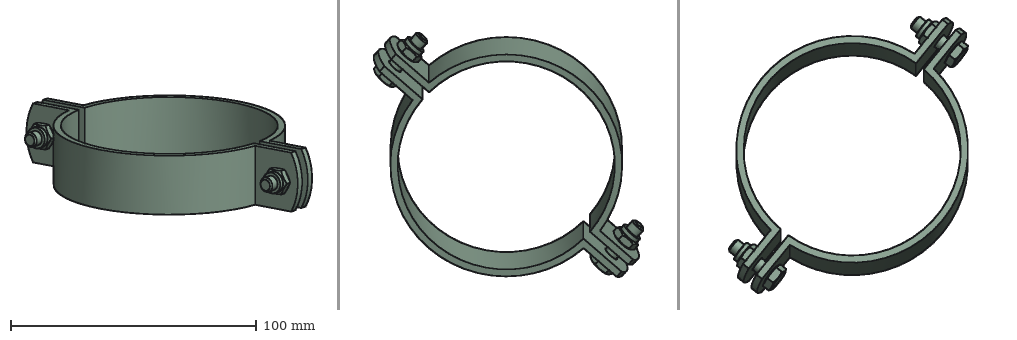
import cadquery as cq
import math

overall_length = 137.0
outer_radius = 47.3
band_thickness = 3.0
band_height = 25.0
ear_gap = 4.0
ear_end_radius = band_height
hole_diameter = 6.5

bolt_x = 59.5
shank_diameter = 6.0
shank_length = 20.0
shank_tip_chamfer = 0.7
hex_across_flats = 10.0
head_height = 4.0
nut_hex_height = 3.8
collar_diameter = 8.8
collar_height = 1.9
corner_chamfer_angle = 30.0
head_face_diameter = 9.6
washer_face_diameter = 8.9
washer_face_height = 0.3
nut_face_diameter = 8.9

inner_radius = outer_radius - band_thickness
ear_inner_y = ear_gap / 2
ear_outer_y = ear_inner_y + band_thickness
hex_across_corners = hex_across_flats / math.cos(math.radians(30))
nut_height = nut_hex_height + collar_height
shank_end_y = ear_outer_y - shank_length


def cylinder_along_y(diameter, x, y_start, y_end):
    """Solid cylinder parallel to Y between two Y positions."""
    return (
        cq.Workplane("XZ", origin=(x, y_start, 0))
        .circle(diameter / 2)
        .extrude(y_start - y_end)
    )


def make_clamp_half(side):
    """Half band with two round-ended ears; side is +1 for +Y, -1 for -Y."""
    half_length = overall_length / 2
    half_height = band_height / 2
    corner_x = half_length - ear_end_radius + math.sqrt(ear_end_radius**2 - half_height**2)

    ears = (
        cq.Workplane("XZ", origin=(0, ear_outer_y, 0))
        .moveTo(-corner_x, -half_height)
        .lineTo(corner_x, -half_height)
        .threePointArc((half_length, 0), (corner_x, half_height))
        .lineTo(-corner_x, half_height)
        .threePointArc((-half_length, 0), (-corner_x, -half_height))
        .close()
        .extrude(band_thickness)
    )
    band = cq.Workplane("XY").circle(outer_radius).extrude(half_height, both=True)
    upper_side = (
        cq.Workplane("XY")
        .box(overall_length, outer_radius, band_height, centered=(True, False, True))
        .translate((0, ear_inner_y, 0))
    )
    bore = cq.Workplane("XY").circle(inner_radius).extrude(half_height, both=True)
    half = band.intersect(upper_side).union(ears).cut(bore)
    for x in (-bolt_x, bolt_x):
        half = half.cut(cylinder_along_y(hole_diameter, x, ear_outer_y, ear_inner_y))
    return half if side > 0 else half.mirror("XZ")


def make_hexagon(x, seat_y, height, direction):
    """Hexagonal prism rising from seat_y along direction (+1 for +Y, -1 for -Y)."""
    return (
        cq.Workplane("XZ", origin=(x, seat_y, 0))
        .polygon(6, hex_across_corners)
        .extrude(-direction * height)
    )


def trim_hex_corners(hexagon, x, face_y, inward, face_diameter):
    """Trim the corners at one face with a cone that leaves a flat of face_diameter."""
    corner_radius = hex_across_corners / 2
    trim_depth = (corner_radius - face_diameter / 2) * math.tan(math.radians(corner_chamfer_angle))
    trim_ring = (
        cq.Workplane("XY", origin=(x, 0, 0))
        .moveTo(face_diameter / 2, face_y)
        .lineTo(corner_radius, face_y + inward * trim_depth)
        .lineTo(corner_radius, face_y)
        .close()
        .revolve(360, (0, 0, 0), (0, 1, 0))
    )
    return hexagon.cut(trim_ring)


def make_bolt(x):
    """Bolt with its head on the +Y ear and its chamfered tip toward -Y."""
    head_seat_y = ear_outer_y + washer_face_height
    head_top_y = ear_outer_y + head_height
    head = make_hexagon(x, head_seat_y, head_height - washer_face_height, 1)
    head = trim_hex_corners(head, x, head_top_y, -1, head_face_diameter)
    washer_face = cylinder_along_y(washer_face_diameter, x, head_seat_y, ear_outer_y)
    shank = cylinder_along_y(shank_diameter, x, head_seat_y, shank_end_y)
    return head.union(washer_face).union(shank.faces("<Y").chamfer(shank_tip_chamfer))


def make_nut(x):
    """Collared nut seated on the -Y ear."""
    seat_y = -ear_outer_y
    end_y = seat_y - nut_height
    nut = make_hexagon(x, seat_y, nut_hex_height, -1)
    nut = trim_hex_corners(nut, x, seat_y, -1, nut_face_diameter)
    nut = trim_hex_corners(nut, x, seat_y - nut_hex_height, 1, nut_face_diameter)
    collar = cylinder_along_y(collar_diameter, x, seat_y, end_y)
    bore = cylinder_along_y(shank_diameter, x, seat_y, end_y)
    return nut.union(collar).cut(bore)


clamp_halves = [make_clamp_half(side) for side in (1, -1)]
bolts = [make_bolt(x) for x in (-bolt_x, bolt_x)]
nuts = [make_nut(x) for x in (-bolt_x, bolt_x)]

result = cq.Compound.makeCompound([body.val() for body in clamp_halves + bolts + nuts])